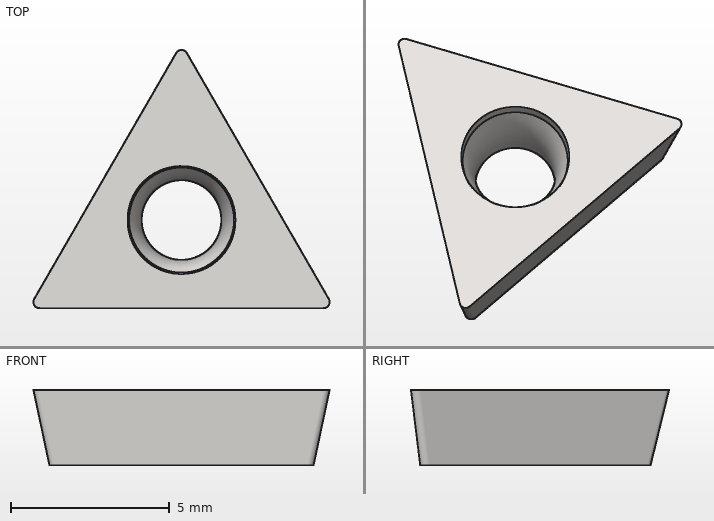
import cadquery as cq
import math

thickness = 2.38
length = 9.34
nose_radius = 0.2
nose_half_sweep = 60
clearance_angle = 7.0

mouth_diameter = 3.41
seat_diameter = 3.31
bore_diameter = 2.5
mouth_depth = 0.35
bore_start_depth = 1.77

top_inradius = (length / 2 - nose_radius) / math.sqrt(3) + nose_radius
bottom_inradius = top_inradius - thickness * math.tan(math.radians(clearance_angle))


def rounded_triangle(inradius, z):
    """Wire of an equilateral triangle, tip toward +Y, with the nose radius at each corner."""
    center_distance = 2 * (inradius - nose_radius)

    def nose_point(corner_angle, offset_angle):
        corner = math.radians(corner_angle)
        direction = math.radians(corner_angle + offset_angle)
        return (
            center_distance * math.cos(corner) + nose_radius * math.cos(direction),
            center_distance * math.sin(corner) + nose_radius * math.sin(direction),
        )

    corner_angles = (90, 210, 330)
    outline = cq.Workplane("XY", origin=(0, 0, z)).moveTo(*nose_point(corner_angles[0], -nose_half_sweep))
    for index, angle in enumerate(corner_angles):
        next_angle = corner_angles[(index + 1) % len(corner_angles)]
        outline = outline.threePointArc(nose_point(angle, 0), nose_point(angle, nose_half_sweep))
        if index < len(corner_angles) - 1:
            outline = outline.lineTo(*nose_point(next_angle, -nose_half_sweep))
    return outline.close().val()


def screw_hole():
    """Revolved cutter whose convex seat narrows to the bore below the mouth."""
    mouth = mouth_diameter / 2
    seat = seat_diameter / 2
    bore = bore_diameter / 2
    seat_width = seat - bore
    seat_height = bore_start_depth - mouth_depth
    seat_radius = (seat_width**2 + seat_height**2) / (2 * seat_width)
    middle_angle = math.asin(seat_height / seat_radius) / 2
    seat_middle = (
        bore + seat_radius * (1 - math.cos(middle_angle)),
        -bore_start_depth + seat_radius * math.sin(middle_angle),
    )
    seat_end = (bore, -bore_start_depth)
    return (
        cq.Workplane("XZ")
        .lineTo(mouth, 0)
        .lineTo(seat, -mouth_depth)
        .threePointArc(seat_middle, seat_end)
        .lineTo(bore, -thickness)
        .lineTo(0, -thickness)
        .close()
        .revolve(360, (0, 0), (0, 1))
    )


top_outline = rounded_triangle(top_inradius, 0)
bottom_outline = rounded_triangle(bottom_inradius, -thickness)
body = cq.Workplane(cq.Solid.makeLoft([bottom_outline, top_outline], True))
result = body.cut(screw_hole())